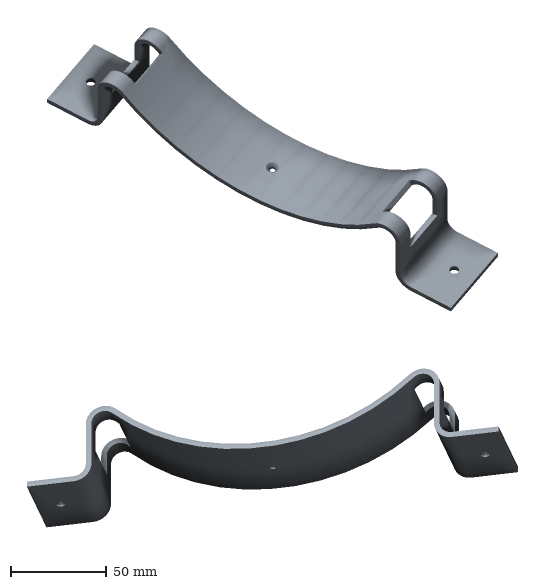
import cadquery as cq
import math

length = 254.0
width = 44.5
height = 43.2
thickness = 3.0
inner_bend_radius = 6.5
wall_outer_x = 95.2
saddle_low_z = 10.2

slot_width = 25.5
slot_bottom_z = 22.0
slot_end_x = 77.5

foot_hole_diameter = 5.0
foot_hole_x = 114.3
center_hole_diameter = 3.3
countersink_diameter = 6.9
countersink_angle = 90.0

outer_bend_radius = inner_bend_radius + thickness
foot_bend_x = wall_outer_x + inner_bend_radius
foot_bend_z = thickness + inner_bend_radius
crest_x = wall_outer_x - outer_bend_radius
crest_z = height - outer_bend_radius

crest_rise = crest_z - saddle_low_z
saddle_radius = (crest_x**2 + crest_rise**2 - outer_bend_radius**2) / (2 * (crest_rise + outer_bend_radius))
saddle_center_z = saddle_low_z + saddle_radius
tangent_angle = math.degrees(math.asin(crest_x / (saddle_radius + outer_bend_radius)))


def on_circle(center_x, center_z, radius, degrees):
    angle = math.radians(degrees)
    return (center_x + radius * math.cos(angle), center_z + radius * math.sin(angle))


def make_half_strip():
    """Right half of the bent strip: saddle, crest, wall and foot."""
    saddle_end = 90 + tangent_angle
    saddle_middle = 270 + tangent_angle / 2
    saddle_under_radius = saddle_radius + thickness
    wall_inner_x = wall_outer_x - thickness
    return (
        cq.Workplane("XZ")
        .moveTo(0, saddle_low_z)
        .threePointArc(
            on_circle(0, saddle_center_z, saddle_radius, saddle_middle),
            on_circle(crest_x, crest_z, outer_bend_radius, saddle_end),
        )
        .threePointArc(
            on_circle(crest_x, crest_z, outer_bend_radius, saddle_end / 2),
            (wall_outer_x, crest_z),
        )
        .lineTo(wall_outer_x, foot_bend_z)
        .threePointArc(
            on_circle(foot_bend_x, foot_bend_z, inner_bend_radius, 225),
            (foot_bend_x, thickness),
        )
        .lineTo(length / 2, thickness)
        .lineTo(length / 2, 0)
        .lineTo(foot_bend_x, 0)
        .threePointArc(
            on_circle(foot_bend_x, foot_bend_z, outer_bend_radius, 225),
            (wall_inner_x, foot_bend_z),
        )
        .lineTo(wall_inner_x, crest_z)
        .threePointArc(
            on_circle(crest_x, crest_z, inner_bend_radius, saddle_end / 2),
            on_circle(crest_x, crest_z, inner_bend_radius, saddle_end),
        )
        .threePointArc(
            on_circle(0, saddle_center_z, saddle_under_radius, saddle_middle),
            (0, saddle_low_z - thickness),
        )
        .close()
        .extrude(width / 2, both=True)
    )


def make_slot_cutter():
    """Window through the wall and crest, ending square to the saddle sheet."""
    end_angle = math.degrees(math.asin(slot_end_x / saddle_radius)) - 90
    upper_edge = on_circle(0, saddle_center_z, saddle_radius, end_angle)
    lower_edge = on_circle(0, saddle_center_z, saddle_radius + thickness, end_angle)
    outside_x = wall_outer_x + thickness
    return (
        cq.Workplane("XZ")
        .moveTo(*upper_edge)
        .lineTo(*lower_edge)
        .lineTo(lower_edge[0], slot_bottom_z)
        .lineTo(outside_x, slot_bottom_z)
        .lineTo(outside_x, height + thickness)
        .lineTo(upper_edge[0], height + thickness)
        .close()
        .extrude(slot_width / 2, both=True)
    )


def make_foot_holes():
    """Mounting hole through each foot."""
    return (
        cq.Workplane("XY")
        .pushPoints([(-foot_hole_x, 0), (foot_hole_x, 0)])
        .circle(foot_hole_diameter / 2)
        .extrude(thickness)
    )


def make_center_hole():
    """Countersunk hole through the lowest point of the saddle."""
    hole_radius = center_hole_diameter / 2
    sink_radius = countersink_diameter / 2
    sink_depth = (sink_radius - hole_radius) / math.tan(math.radians(countersink_angle / 2))
    return (
        cq.Workplane("XZ")
        .moveTo(0, saddle_low_z - 2 * thickness)
        .lineTo(hole_radius, saddle_low_z - 2 * thickness)
        .lineTo(hole_radius, saddle_low_z - sink_depth)
        .lineTo(sink_radius, saddle_low_z)
        .lineTo(sink_radius, saddle_low_z + thickness)
        .lineTo(0, saddle_low_z + thickness)
        .close()
        .revolve(360, (0, 0, 0), (0, 1, 0))
    )


half = make_half_strip().cut(make_slot_cutter())
strip = half.union(half.mirror("YZ")).clean()
result = strip.cut(make_foot_holes()).cut(make_center_hole())